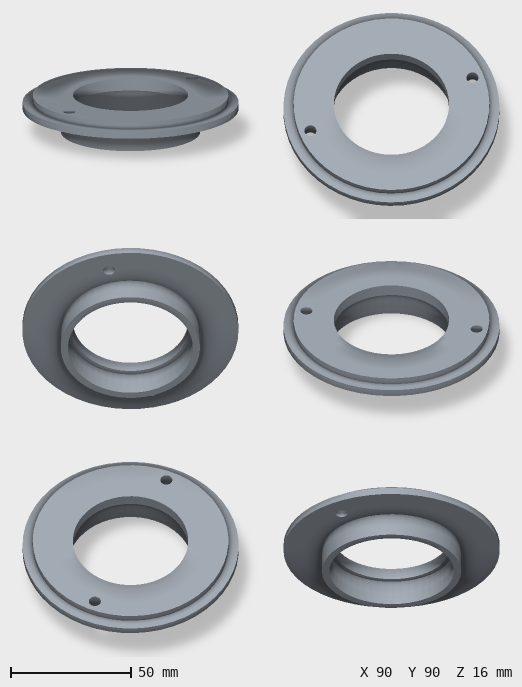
import cadquery as cq

sleeve_diameter = 58.0
sleeve_height = 10.0
flange_diameter = 90.0
flange_thickness = 3.0
face_diameter = 81.5
face_height = 3.0
total_height = sleeve_height + flange_thickness + face_height

lip_bore_diameter = 48.0
lip_thickness = 5.0
seat_bore_diameter = 52.0
seat_depth = total_height - lip_thickness

bolt_hole_diameter = 5.0
bolt_circle_diameter = 72.0


def disc(diameter, bottom, height):
    """Solid cylinder on the Z axis, starting at the given bottom level."""
    return cq.Workplane("XY").workplane(offset=bottom).circle(diameter / 2).extrude(height)


def make_body():
    sleeve = disc(sleeve_diameter, 0, sleeve_height)
    flange = disc(flange_diameter, sleeve_height, flange_thickness)
    face = disc(face_diameter, sleeve_height + flange_thickness, face_height)
    return sleeve.union(flange).union(face)


def cut_stepped_bore(body):
    lip_bore = disc(lip_bore_diameter, 0, total_height)
    seat_bore = disc(seat_bore_diameter, 0, seat_depth)
    return body.cut(lip_bore).cut(seat_bore)


def cut_bolt_holes(body):
    holes = (
        cq.Workplane("XY")
        .pushPoints([(0, side * bolt_circle_diameter / 2) for side in (-1, 1)])
        .circle(bolt_hole_diameter / 2)
        .extrude(total_height)
    )
    return body.cut(holes)


result = cut_bolt_holes(cut_stepped_bore(make_body()))